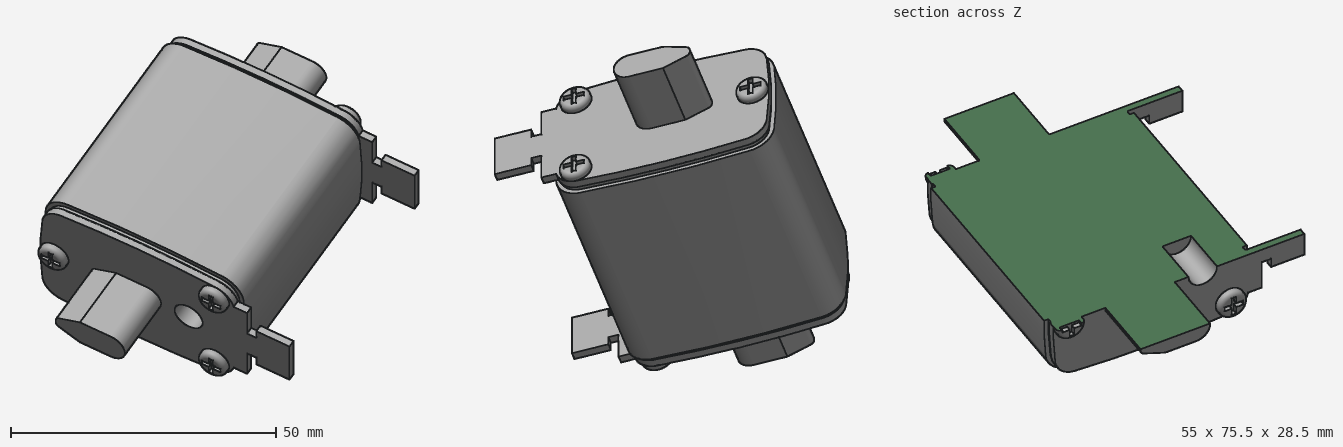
import cadquery as cq

TOTAL_WIDTH = 54.99
TOTAL_LENGTH = 75.5

BODY_WIDTH = 44.0
BODY_HEIGHT = 28.48
BODY_HALF_LENGTH = 21.75
SIDE_BULGE = 0.9
TOP_BULGE = 1.0
CORNER_RADIUS = 5.2

GASKET_INSET = 0.9
GASKET_THICKNESS = 0.9
PLATE_INSET = 0.65
PLATE_THICKNESS = 1.55
GASKET_FACE = BODY_HALF_LENGTH + GASKET_THICKNESS
PLATE_FACE = GASKET_FACE + PLATE_THICKNESS

LUG_SHOULDER_X = 23.75
LUG_SHOULDER_HEIGHT = 18.9
LUG_NECK_HEIGHT = 6.2
LUG_HEAD_START_X = 25.75
LUG_HEAD_END_X = TOTAL_WIDTH - BODY_WIDTH / 2
LUG_HEAD_HEIGHT = 10.3

BLADE_TIP_FACE = TOTAL_LENGTH / 2
BLADE_THICKNESS = 6.2
BLADE_TIP_X = -10.1
BLADE_TIP_THICKNESS = 2.1
BLADE_TIP_RADIUS = 1.1
BLADE_TAPER_END_X = -4.8
BLADE_ROUND_START_X = 1.9
BLADE_ROUND_END_X = BLADE_ROUND_START_X + BLADE_THICKNESS / 2

HOLE_X = 11.0
HOLE_DIAMETER = 6.1
HOLE_DEPTH = 10.0

SCREW_CENTERS = [(-18.2, 0.0), (16.8, 9.8), (16.8, -9.8)]
SCREW_HEAD_DIAMETER = 6.1
SCREW_HEAD_HEIGHT = 1.65
SCREW_EDGE_RADIUS = 1.0
SCREW_SLOT_LENGTH = SCREW_HEAD_DIAMETER - 2 * SCREW_EDGE_RADIUS
SCREW_SLOT_WIDTH = 0.95
SCREW_SLOT_DEPTH = 1.0


def end_plane(y):
    """Plane facing -Y at distance y from the middle, with local axes along X and Z."""
    return cq.Workplane("XZ", origin=(0, -y, 0))


def bulged_block(inset, start, end):
    """Body-shaped block between two distances along -Y, shrunk evenly by inset."""
    half_width = BODY_WIDTH / 2 - inset
    half_height = BODY_HEIGHT / 2 - inset
    corner_x = half_width - SIDE_BULGE
    corner_z = half_height - TOP_BULGE
    return (
        end_plane(start)
        .moveTo(-corner_x, corner_z)
        .threePointArc((0, half_height), (corner_x, corner_z))
        .threePointArc((half_width, 0), (corner_x, -corner_z))
        .threePointArc((0, -half_height), (-corner_x, -corner_z))
        .threePointArc((-half_width, 0), (-corner_x, corner_z))
        .close()
        .extrude(end - start)
        .edges("|Y")
        .fillet(CORNER_RADIUS - inset)
    )


def lug_step(start_x, end_x, height):
    """One rectangular step of the lug, as thick as the end plate."""
    mid_x = (start_x + end_x) / 2
    return end_plane(GASKET_FACE).center(mid_x, 0).rect(end_x - start_x, height).extrude(PLATE_THICKNESS)


def lug():
    """Stepped gripping lug in the thickness of the end plate."""
    shoulder = lug_step(0, LUG_SHOULDER_X, LUG_SHOULDER_HEIGHT)
    neck = lug_step(LUG_SHOULDER_X, LUG_HEAD_START_X, LUG_NECK_HEIGHT)
    head = lug_step(LUG_HEAD_START_X, LUG_HEAD_END_X, LUG_HEAD_HEIGHT)
    return shoulder.union(neck).union(head)


def blade():
    """Knife blade with a tapered, softened -X edge and a full-round +X edge."""
    half_blade = BLADE_THICKNESS / 2
    half_tip = BLADE_TIP_THICKNESS / 2
    return (
        end_plane(GASKET_FACE)
        .moveTo(BLADE_TIP_X, half_tip)
        .lineTo(BLADE_TAPER_END_X, half_blade)
        .lineTo(BLADE_ROUND_START_X, half_blade)
        .threePointArc((BLADE_ROUND_END_X, 0), (BLADE_ROUND_START_X, -half_blade))
        .lineTo(BLADE_TAPER_END_X, -half_blade)
        .lineTo(BLADE_TIP_X, -half_tip)
        .close()
        .extrude(BLADE_TIP_FACE - GASKET_FACE)
        .faces("<X")
        .edges("|Y")
        .fillet(BLADE_TIP_RADIUS)
    )


def screw_heads():
    """Round screw heads with cross recesses."""
    heads = (
        end_plane(PLATE_FACE)
        .pushPoints(SCREW_CENTERS)
        .circle(SCREW_HEAD_DIAMETER / 2)
        .extrude(SCREW_HEAD_HEIGHT)
        .faces("<Y")
        .edges()
        .fillet(SCREW_EDGE_RADIUS)
    )
    slot_floor_face = PLATE_FACE + SCREW_HEAD_HEIGHT - SCREW_SLOT_DEPTH
    slot_floor = end_plane(slot_floor_face).pushPoints(SCREW_CENTERS)
    flat_slots = slot_floor.rect(SCREW_SLOT_LENGTH, SCREW_SLOT_WIDTH).extrude(SCREW_SLOT_DEPTH)
    upright_slots = slot_floor.rect(SCREW_SLOT_WIDTH, SCREW_SLOT_LENGTH).extrude(SCREW_SLOT_DEPTH)
    return heads.cut(flat_slots).cut(upright_slots)


def end_cap():
    """Everything mounted on the -Y end of the body."""
    gasket = bulged_block(GASKET_INSET, BODY_HALF_LENGTH, GASKET_FACE)
    plate = bulged_block(PLATE_INSET, GASKET_FACE, PLATE_FACE)
    return gasket.union(plate).union(lug()).union(blade()).union(screw_heads())


def indicator_hole():
    """Blind hole running inward from the -Y plate face."""
    return end_plane(PLATE_FACE).center(HOLE_X, 0).circle(HOLE_DIAMETER / 2).extrude(-HOLE_DEPTH)


body = bulged_block(0, -BODY_HALF_LENGTH, BODY_HALF_LENGTH)
cap = end_cap()
result = body.union(cap).union(cap.mirror("XZ")).cut(indicator_hole())